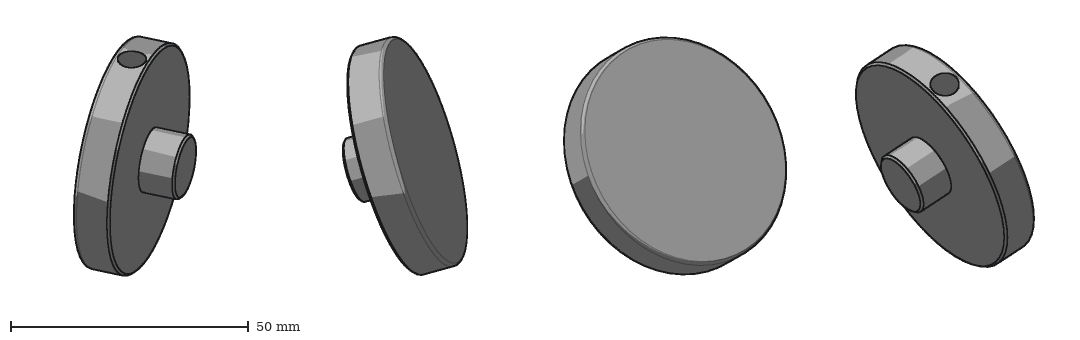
import cadquery as cq
import math

disc_diameter = 50.0
dome_height = 3.0
disc_thickness = 8.0
stem_diameter = 14.0
stem_length = 8.0

front_fillet = 0.8
back_edge_chamfer = 0.5
stem_chamfer = 0.5

hole_diameter = 6.0
hole_depth = 10.0
drill_point_angle = 118.0

disc_radius = disc_diameter / 2
stem_radius = stem_diameter / 2
back_x = dome_height + disc_thickness
end_x = back_x + stem_length

dome_radius = (disc_radius**2 + dome_height**2) / (2 * dome_height)


def make_body():
    """Revolve the domed disc and its stem about the X axis."""
    fillet_y = disc_radius - front_fillet
    fillet_x = dome_radius - math.sqrt((dome_radius - front_fillet) ** 2 - fillet_y**2)
    lean = math.asin(fillet_y / (dome_radius - front_fillet))

    def on_dome(angle):
        return (dome_radius * (1 - math.cos(angle)), dome_radius * math.sin(angle))

    middle = (lean + math.pi / 2) / 2
    fillet_middle = (
        fillet_x - front_fillet * math.cos(middle),
        fillet_y + front_fillet * math.sin(middle),
    )
    profile = (
        cq.Workplane("XY")
        .moveTo(0, 0)
        .threePointArc(on_dome(lean / 2), on_dome(lean))
        .threePointArc(fillet_middle, (fillet_x, disc_radius))
        .lineTo(back_x - back_edge_chamfer, disc_radius)
        .lineTo(back_x, disc_radius - back_edge_chamfer)
        .lineTo(back_x, stem_radius)
        .lineTo(end_x - stem_chamfer, stem_radius)
        .lineTo(end_x, stem_radius - stem_chamfer)
        .lineTo(end_x, 0)
        .close()
    )
    return profile.revolve(360, (0, 0, 0), (1, 0, 0))


def make_hole():
    """Drill shape with a conical point, centred in the disc thickness."""
    hole_x = dome_height + disc_thickness / 2
    hole_radius = hole_diameter / 2
    floor_z = disc_radius - hole_depth
    tip_z = floor_z - hole_radius / math.tan(math.radians(drill_point_angle / 2))
    profile = (
        cq.Workplane("XZ", origin=(hole_x, 0, 0))
        .moveTo(0, tip_z)
        .lineTo(hole_radius, floor_z)
        .lineTo(hole_radius, disc_radius)
        .lineTo(0, disc_radius)
        .close()
    )
    return profile.revolve(360, (0, 0, 0), (0, 1, 0))


result = make_body().cut(make_hole())